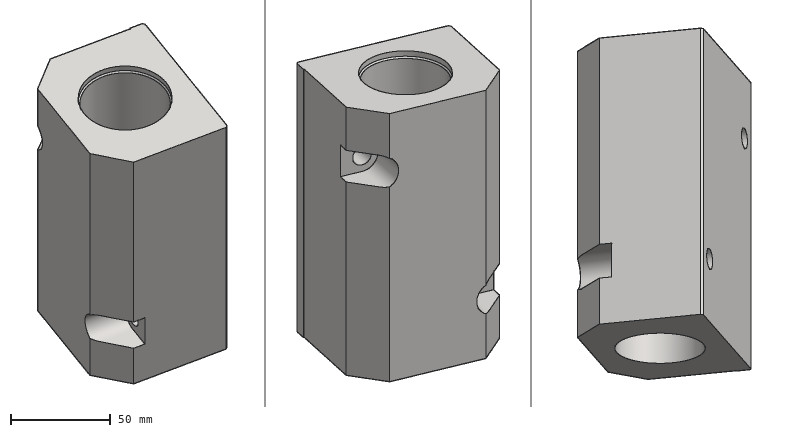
import cadquery as cq

height = 152.0
body_width = 86.5
depth = 70.0
front_to_bore = 35.1
front_chamfer = 16.1
back_chamfer = 1.0

strip_thickness = 0.5
strip_width = 8.0

bore_diameter = 45.3
counterbore_diameter = 47.0
counterbore_depth = 3.0

hole_diameter = 10.5
hole_offset_x = 31.0
hole_end_distance = 33.5
pocket_radius = 9.0
pocket_depth = 22.5

half_width = body_width / 2
front_y = -front_to_bore
back_y = front_y + depth
strip_x = -half_width - strip_thickness


def make_block():
    """Extrude the chamfered outline, including the side strip."""
    outline = [
        (-half_width + front_chamfer, front_y),
        (half_width - front_chamfer, front_y),
        (half_width, front_y + front_chamfer),
        (half_width, back_y - back_chamfer),
        (half_width - back_chamfer, back_y),
        (strip_x + back_chamfer, back_y),
        (strip_x, back_y - back_chamfer),
        (strip_x, back_y - strip_width),
        (-half_width, back_y - strip_width),
        (-half_width, front_y + front_chamfer),
    ]
    return cq.Workplane("XY").polyline(outline).close().extrude(height)


def make_bore():
    """Through bore joined with its top counterbore and the cone below it."""
    cone_height = (counterbore_diameter - bore_diameter) / 2
    bore = cq.Workplane("XY").circle(bore_diameter / 2).extrude(height)
    counterbore = (
        cq.Workplane("XY", origin=(0, 0, height - counterbore_depth))
        .circle(counterbore_diameter / 2)
        .extrude(counterbore_depth)
    )
    cone = cq.Workplane(
        cq.Solid.makeCone(
            bore_diameter / 2,
            counterbore_diameter / 2,
            cone_height,
            pnt=cq.Vector(0, 0, height - counterbore_depth - cone_height),
        )
    )
    return bore.union(counterbore).union(cone)


def make_mounting_cut(side, z):
    """Hole through the depth and a round-ended pocket open to the given X side (-1 or +1)."""
    hole_x = side * hole_offset_x
    front_plane = cq.Workplane("XZ", origin=(hole_x, front_y, z))
    hole = front_plane.circle(hole_diameter / 2).extrude(-depth)
    round_end = front_plane.circle(pocket_radius).extrude(-pocket_depth)
    run_length = half_width
    straight_run = (
        front_plane.center(side * run_length / 2, 0)
        .rect(run_length, 2 * pocket_radius)
        .extrude(-pocket_depth)
    )
    return hole.union(round_end).union(straight_run)


result = make_block().cut(make_bore())
for side, z in ((-1, height - hole_end_distance), (1, hole_end_distance)):
    result = result.cut(make_mounting_cut(side, z))